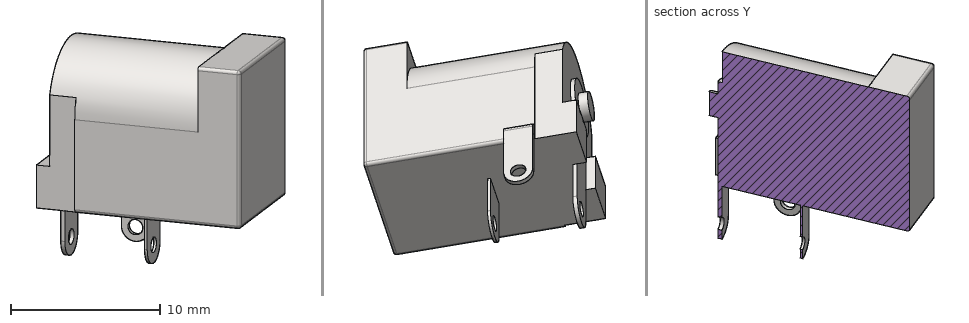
import cadquery as cq

HOUSING_LENGTH = 14.62
HOUSING_WIDTH = 9.0
HOUSING_HEIGHT = 11.0
EDGE_RADIUS = 0.23
BARREL_RADIUS = HOUSING_WIDTH / 2
AXIS_HEIGHT = HOUSING_HEIGHT - BARREL_RADIUS
FLANGE_START = 11.6

REAR_FACE = 0.95
NECK_END = 2.83
NECK_WIDTH = 8.5
LUG_HEIGHT = 3.0

TERMINAL_DROP = 4.3
TERMINAL_HOLE = 1.05
REAR_WIDTH = 2.54
REAR_THICKNESS = 0.3
WASHER_DIAMETER = 4.0
PIN_DIAMETER = 2.0
INNER_FRONT = 6.62
INNER_THICKNESS = 0.2
SIDE_START = 2.87
SIDE_WIDTH = 2.0
SIDE_THICKNESS = 0.32
SIDE_BEND_RADIUS = 0.5
SIDE_BEND_HEIGHT = 0.65

ANCHOR_DEPTH = 0.5


def block(x_start, x_end, width, z_start, z_end):
    """Box centred on the XZ plane."""
    return cq.Workplane("XY").box(
        x_end - x_start, width, z_end - z_start, centered=(False, True, False)
    ).translate((x_start, 0, z_start))


def disc(x_start, x_end, diameter):
    """Cylinder on the barrel axis."""
    return (
        cq.Workplane("YZ", origin=(x_start, 0, AXIS_HEIGHT))
        .circle(diameter / 2)
        .extrude(x_end - x_start)
    )


def rounded_top(x_start, x_end):
    """Prism with vertical sides and the half-round barrel on top."""
    half_width = HOUSING_WIDTH / 2
    return (
        cq.Workplane("YZ", origin=(x_start, 0, 0))
        .moveTo(-half_width, 0)
        .lineTo(half_width, 0)
        .lineTo(half_width, AXIS_HEIGHT)
        .threePointArc((0, HOUSING_HEIGHT), (-half_width, AXIS_HEIGHT))
        .close()
        .extrude(x_end - x_start)
    )


def make_housing():
    shell = block(NECK_END, HOUSING_LENGTH, HOUSING_WIDTH, 0, HOUSING_HEIGHT)
    shell = shell.edges("|X or >X").fillet(EDGE_RADIUS)
    flange_space = block(FLANGE_START, HOUSING_LENGTH, HOUSING_WIDTH, 0, HOUSING_HEIGHT)
    envelope = rounded_top(NECK_END, FLANGE_START).union(flange_space)
    neck = rounded_top(REAR_FACE, NECK_END).intersect(
        block(REAR_FACE, NECK_END, NECK_WIDTH, 0, HOUSING_HEIGHT)
    )
    lugs = block(0, REAR_FACE, NECK_WIDTH, 0, LUG_HEIGHT).cut(
        block(0, REAR_FACE, REAR_WIDTH, 0, LUG_HEIGHT)
    )
    return shell.intersect(envelope).union(neck).union(lugs)


def make_blade(plane, origin, width, top, thickness):
    """Flat blade with a round, pierced lower end; grows along the plane normal from the origin."""
    radius = width / 2
    tip_center = radius - TERMINAL_DROP
    return (
        cq.Workplane(plane, origin=origin)
        .moveTo(-radius, top)
        .lineTo(-radius, tip_center)
        .threePointArc((0, -TERMINAL_DROP), (radius, tip_center))
        .lineTo(radius, top)
        .close()
        .moveTo(0, tip_center)
        .circle(TERMINAL_HOLE / 2)
        .extrude(thickness)
    )


def make_rear_terminal():
    blade_start = REAR_FACE - REAR_THICKNESS
    blade = make_blade("YZ", (blade_start, 0, 0), REAR_WIDTH, AXIS_HEIGHT, REAR_THICKNESS)
    washer = disc(blade_start, REAR_FACE, WASHER_DIAMETER)
    pin = disc(0, REAR_FACE, PIN_DIAMETER)
    return blade.union(washer).union(pin)


def make_inner_terminal():
    return make_blade("YZ", (INNER_FRONT, 0, 0), REAR_WIDTH, ANCHOR_DEPTH, INNER_THICKNESS)


def make_side_terminal():
    """Blade against the +Y side whose upper end bends into the housing."""
    inner_y = HOUSING_WIDTH / 2
    outer_y = inner_y + SIDE_THICKNESS
    center_x = SIDE_START + SIDE_WIDTH / 2
    blade = make_blade("XZ", (center_x, outer_y, 0), SIDE_WIDTH, SIDE_BEND_HEIGHT, SIDE_THICKNESS)
    bend = (
        cq.Workplane("YZ", origin=(SIDE_START, outer_y - SIDE_BEND_RADIUS, SIDE_BEND_HEIGHT))
        .circle(SIDE_BEND_RADIUS)
        .extrude(SIDE_WIDTH)
    )
    bend_top = SIDE_BEND_HEIGHT + SIDE_BEND_RADIUS
    bend = bend.intersect(
        block(SIDE_START, SIDE_START + SIDE_WIDTH, 2 * outer_y, SIDE_BEND_HEIGHT, bend_top)
    )
    return blade.union(bend)


result = make_housing()
for terminal in (make_rear_terminal(), make_inner_terminal(), make_side_terminal()):
    result = result.union(terminal)